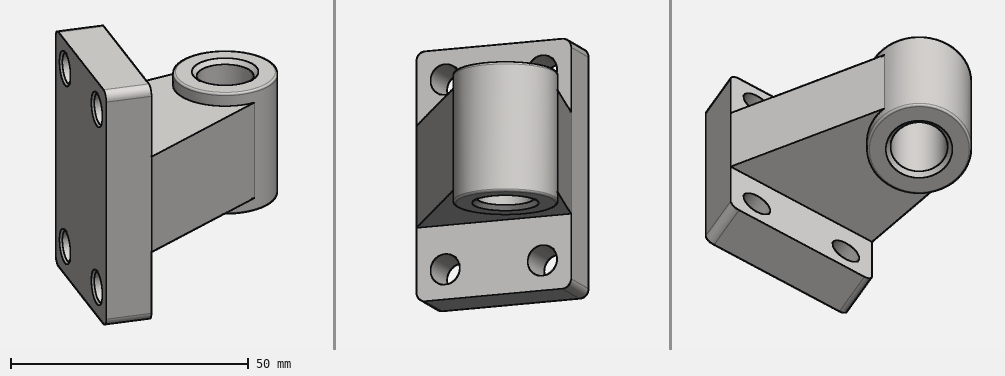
import cadquery as cq
import math

plate_width = 35.0
plate_thickness = 10.0
plate_height = 54.0
plate_corner_radius = 2.0

bolt_hole_diameter = 6.6
bolt_spacing_x = 22.0
bolt_spacing_z = 41.0
bolt_hole_chamfer = 0.5

boss_diameter = 22.0
boss_length = 28.0
boss_x = -13.0
boss_y = 36.0
boss_edge_radius = 0.5
bore_diameter = 12.0
bore_chamfer = 1.0

web_height = 22.0
web_tangent_radius = 10.45


def tangent_point(start_x, start_y, side):
    """Point where a line from the start touches the web circle; side +1 is the +X side, -1 the -X side."""
    dx = start_x - boss_x
    dy = start_y - boss_y
    direction = math.atan2(dy, dx)
    half_angle = math.acos(web_tangent_radius / math.hypot(dx, dy))
    angle = direction + side * half_angle
    return (
        boss_x + web_tangent_radius * math.cos(angle),
        boss_y + web_tangent_radius * math.sin(angle),
    )


def make_plate():
    return (
        cq.Workplane("XY")
        .box(plate_width, plate_thickness, plate_height, centered=(True, False, True))
        .edges("|Y")
        .fillet(plate_corner_radius)
    )


def make_web():
    left = -plate_width / 2
    right = plate_width / 2
    outline = [
        (left, plate_thickness),
        (right, plate_thickness),
        tangent_point(right, plate_thickness, 1),
        (boss_x, boss_y),
        tangent_point(left, plate_thickness, -1),
    ]
    return cq.Workplane("XY").polyline(outline).close().extrude(web_height / 2, both=True)


def make_boss():
    return (
        cq.Workplane("XY")
        .center(boss_x, boss_y)
        .circle(boss_diameter / 2)
        .extrude(boss_length / 2, both=True)
        .edges("%CIRCLE")
        .fillet(boss_edge_radius)
    )


def make_bore():
    bore = (
        cq.Workplane("XY")
        .center(boss_x, boss_y)
        .circle(bore_diameter / 2)
        .extrude(boss_length / 2, both=True)
    )
    mouth_radius = bore_diameter / 2 + bore_chamfer
    for end in (-1, 1):
        mouth = cq.Solid.makeCone(
            mouth_radius,
            bore_diameter / 2,
            bore_chamfer,
            pnt=cq.Vector(boss_x, boss_y, end * boss_length / 2),
            dir=cq.Vector(0, 0, -end),
        )
        bore = bore.union(cq.Workplane(mouth))
    return bore


def make_bolt_hole(x, z):
    front = cq.Vector(x, 0, z)
    inward = cq.Vector(0, 1, 0)
    radius = bolt_hole_diameter / 2
    shank = cq.Solid.makeCylinder(radius, plate_thickness, front, inward)
    mouth = cq.Solid.makeCone(radius + bolt_hole_chamfer, radius, bolt_hole_chamfer, front, inward)
    return cq.Workplane(shank).union(cq.Workplane(mouth))


result = make_plate().union(make_web()).union(make_boss()).cut(make_bore())
for x in (-bolt_spacing_x / 2, bolt_spacing_x / 2):
    for z in (-bolt_spacing_z / 2, bolt_spacing_z / 2):
        result = result.cut(make_bolt_hole(x, z))